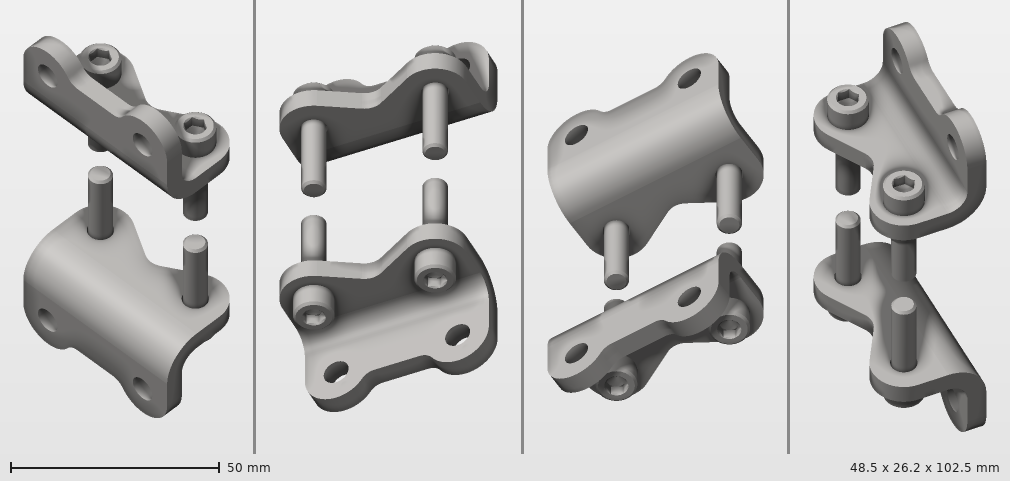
import cadquery as cq
import math

overall_height = 102.5
bracket_width = 48.5
flange_length = 26.2
plate_thickness = 5.0
bend_inner_radius = 5.0
ear_spacing = 32.0
hole_diameter = 6.6

notch_depth = 5.2
notch_fillet = 4.0
valley_angle = 30.0
valley_fillet = 5.0

shank_diameter = 6.0
shank_length = 25.0
head_diameter = 10.0
head_height = 5.9
screw_chamfer = 0.6
socket_sides = 6
socket_width = 5.0
socket_depth = 3.0
socket_point_angle = 120.0

ear_x = ear_spacing / 2
ear_radius = (bracket_width - ear_spacing) / 2
hole_offset = flange_length - ear_radius
bend_outer_radius = bend_inner_radius + plate_thickness
bracket_base = overall_height / 2 - flange_length
screw_seat = bracket_base + plate_thickness
socket_corner_diameter = socket_width / math.cos(math.pi / socket_sides)


def bent_strip():
    """L-shaped strip along X with its outer bend corner at Y = 0, Z = 0."""
    strip = (
        cq.Workplane("YZ", origin=(-bracket_width / 2, 0, 0))
        .polyline(
            [
                (0, 0),
                (flange_length, 0),
                (flange_length, plate_thickness),
                (plate_thickness, plate_thickness),
                (plate_thickness, flange_length),
                (0, flange_length),
            ]
        )
        .close()
        .extrude(bracket_width)
    )
    inner_corner = cq.selectors.NearestToPointSelector((0, plate_thickness, plate_thickness))
    outer_corner = cq.selectors.NearestToPointSelector((0, 0, 0))
    strip = strip.edges("|X").edges(inner_corner).fillet(bend_inner_radius)
    return strip.edges("|X").edges(outer_corner).fillet(bend_outer_radius)


def eared_blank(middle_outline):
    """Prism with two pierced round ears; middle_outline is the part of its outline between them."""
    hole_centers = [(-ear_x, hole_offset), (ear_x, hole_offset)]
    base = cq.Workplane("XY").rect(bracket_width, 2 * hole_offset).extrude(flange_length)
    middle = cq.Workplane("XY").polyline(middle_outline).close().extrude(flange_length)
    ears = cq.Workplane("XY").pushPoints(hole_centers).circle(ear_radius).extrude(flange_length)
    holes = cq.Workplane("XY").pushPoints(hole_centers).circle(hole_diameter / 2).extrude(flange_length)
    return base.union(middle).union(ears).cut(holes)


def notched_blank():
    """Blank of the upright flange: a straight edge between the ears, blended into them."""
    edge_y = flange_length - notch_depth
    blank = eared_blank([(-ear_x, 0), (ear_x, 0), (ear_x, edge_y), (-ear_x, edge_y)])
    corner_x = ear_x - math.sqrt(ear_radius**2 - (edge_y - hole_offset) ** 2)
    for side in (-1, 1):
        corner = cq.selectors.NearestToPointSelector((side * corner_x, edge_y, flange_length / 2))
        blank = blank.edges("|Z").edges(corner).fillet(notch_fillet)
    return blank


def valley_blank():
    """Blank of the level flange: a rounded V whose sides run tangent into the ears."""
    slope = math.radians(valley_angle)
    tangent_x = ear_x - ear_radius * math.sin(slope)
    tangent_y = hole_offset + ear_radius * math.cos(slope)
    valley_y = tangent_y - tangent_x * math.tan(slope)
    blank = eared_blank(
        [
            (-ear_x, hole_offset),
            (ear_x, hole_offset),
            (tangent_x, tangent_y),
            (0, valley_y),
            (-tangent_x, tangent_y),
        ]
    )
    valley = cq.selectors.NearestToPointSelector((0, valley_y, flange_length / 2))
    return blank.edges("|Z").edges(valley).fillet(valley_fillet)


def make_bracket():
    """Upper bracket: the bent strip trimmed and pierced to both flange blanks."""
    upright = notched_blank().rotate((0, 0, 0), (1, 0, 0), 90).translate((0, flange_length, 0))
    bracket = bent_strip().intersect(upright).intersect(valley_blank())
    return bracket.translate((0, 0, bracket_base))


def make_screw(x):
    """Upper screw, pointing down, with its hexagon socket facing up."""
    head = (
        cq.Workplane("XY")
        .circle(head_diameter / 2)
        .extrude(head_height)
        .faces(">Z")
        .chamfer(screw_chamfer)
    )
    shank = (
        cq.Workplane("XY")
        .circle(shank_diameter / 2)
        .extrude(-shank_length)
        .faces("<Z")
        .chamfer(screw_chamfer)
    )
    socket_floor = head_height - socket_depth
    socket = (
        cq.Workplane("XY", origin=(0, 0, socket_floor))
        .polygon(socket_sides, socket_corner_diameter)
        .extrude(socket_depth)
        .rotate((0, 0, 0), (0, 0, 1), 180 / socket_sides)
    )
    point_radius = socket_width / 2
    point_depth = point_radius / math.tan(math.radians(socket_point_angle / 2))
    point_tip = (0, 0, socket_floor - point_depth)
    point = cq.Workplane(cq.Solid.makeCone(0, point_radius, point_depth, pnt=point_tip))
    corner_radius = socket_corner_diameter / 2
    lead_in_depth = corner_radius - point_radius
    lead_in_base = (0, 0, head_height - lead_in_depth)
    lead_in = cq.Workplane(cq.Solid.makeCone(point_radius, corner_radius, lead_in_depth, pnt=lead_in_base))
    screw = head.union(shank).cut(socket).cut(point).cut(lead_in)
    return screw.translate((x, hole_offset, screw_seat))


upper_bracket = make_bracket()
upper_screws = [make_screw(side * ear_x) for side in (-1, 1)]
upper_bodies = [upper_bracket, *upper_screws]
lower_bodies = [body.mirror("XY") for body in upper_bodies]

result = cq.Compound.makeCompound([body.val() for body in upper_bodies + lower_bodies])